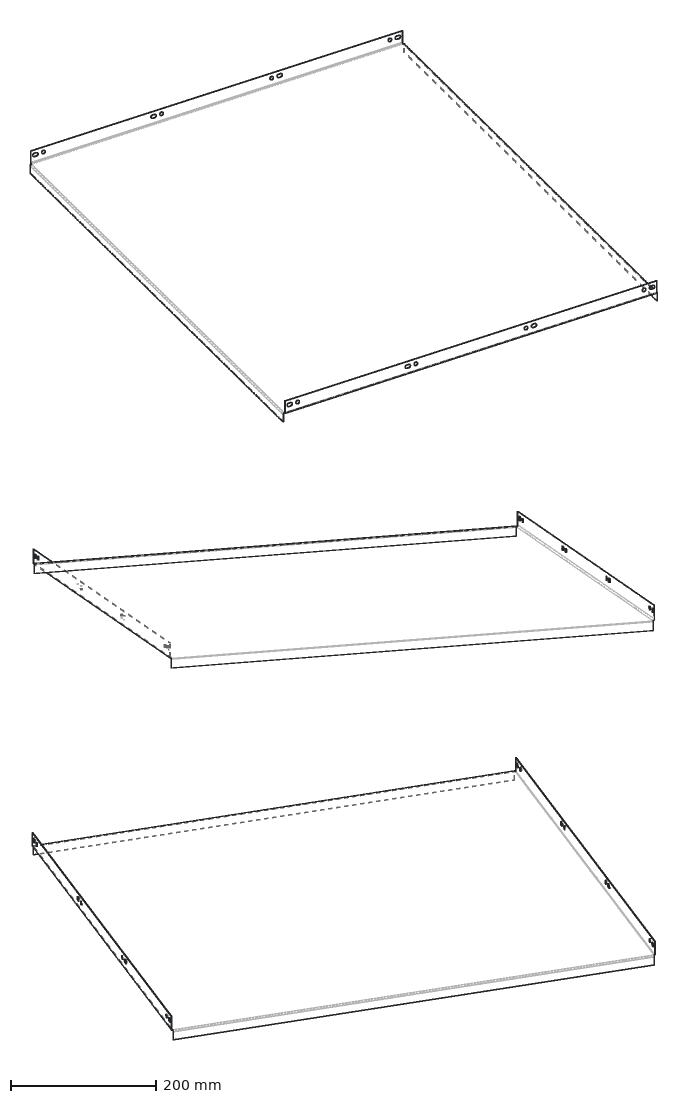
import cadquery as cq

length = 706.0
width = 596.0
height = 35.0
side_flange_height = 22.0

thickness = 1.5
bend_radius = 2.5
panel_bottom = height - side_flange_height
panel_top = panel_bottom + thickness
bend_inner_radius = bend_radius - thickness

side_flange_length = width - 2 * bend_radius
end_flange_length = length - 2 * bend_radius

hole_height = 27.0
hole_diameter = 6.0
slot_length = 8.5
hole_to_slot = 13.0
hole_offsets = (87.5, 275.0)


def flange(reach, tip, base, run):
    """Quarter-round bend and straight flange, ending at horizontal distance reach.

    base is the panel face outside the bend; tip is the height of the free edge.
    The profile lies in XZ and is extruded symmetrically over the length run.
    """
    up = 1 if tip > base else -1
    start = reach - bend_radius
    center = base + up * bend_radius
    diagonal = 0.5 ** 0.5
    outer_mid = (start + bend_radius * diagonal, center - up * bend_radius * diagonal)
    inner_mid = (start + bend_inner_radius * diagonal, center - up * bend_inner_radius * diagonal)
    return (
        cq.Workplane("XZ")
        .moveTo(start, base)
        .threePointArc(outer_mid, (reach, center))
        .lineTo(reach, tip)
        .lineTo(reach - thickness, tip)
        .lineTo(reach - thickness, center)
        .threePointArc(inner_mid, (start, base + up * thickness))
        .close()
        .extrude(run / 2, both=True)
    )


def side_hole_cutter(y, opening_length):
    """Round-ended cutter through both side flanges."""
    profile = cq.Workplane("YZ").center(y, hole_height)
    if opening_length > hole_diameter:
        profile = profile.slot2D(opening_length, hole_diameter)
    else:
        profile = profile.circle(hole_diameter / 2)
    return profile.extrude(length, both=True)


result = cq.Workplane("XY", origin=(0, 0, panel_bottom)).rect(
    end_flange_length, side_flange_length
).extrude(thickness)

side_flange = flange(length / 2, height, panel_bottom, side_flange_length)
end_flange = flange(width / 2, 0, panel_top, end_flange_length)
for turn in (0, 180):
    result = result.union(side_flange.rotate((0, 0, 0), (0, 0, 1), turn))
    result = result.union(end_flange.rotate((0, 0, 0), (0, 0, 1), turn + 90))

for direction in (-1, 1):
    for offset in hole_offsets:
        result = result.cut(side_hole_cutter(direction * offset, hole_diameter))
        result = result.cut(side_hole_cutter(direction * (offset + hole_to_slot), slot_length))